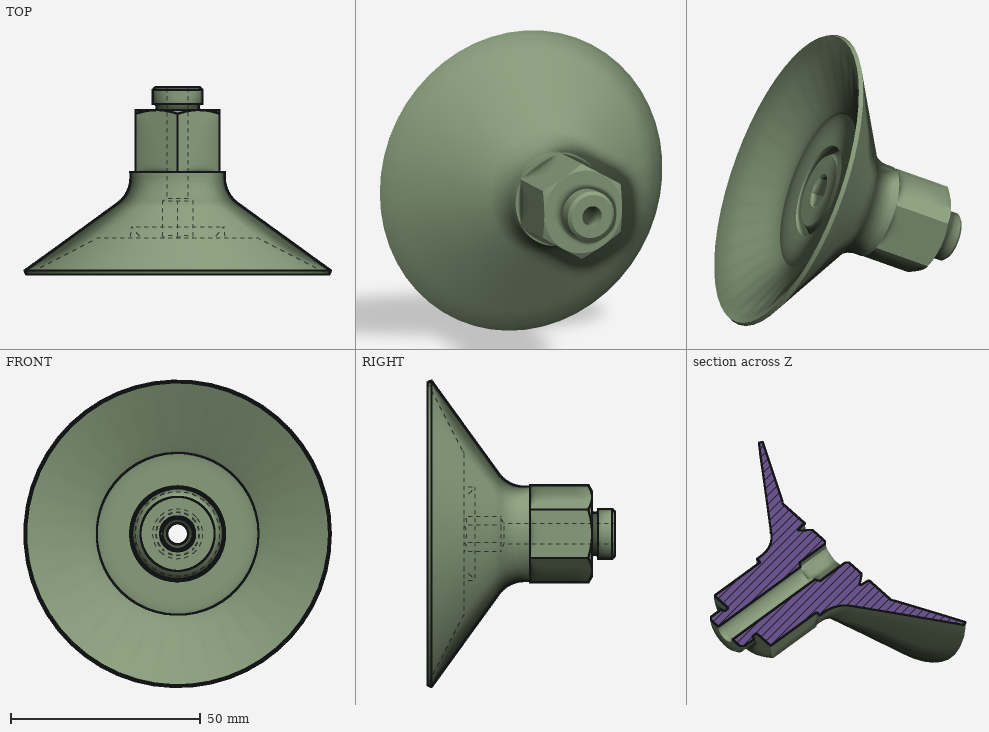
import cadquery as cq
import math


rim_radius = 40.45
lip_radius = 40.0
lip_height = 1.05
collar_radius = 25.0 / 2
collar_start = 25.4
collar_end = 27.1
shoulder_radius = 8.1
shoulder_turn = math.radians(54.5)

floor_depth = 9.7
cavity_end_radius = 21.7
floor_radius = 21.4
floor_step = 0.3
recess_radius = 12.55
recess_taper = 0.3
recess_depth = 2.8
plug_face_radius = 9.8
plug_base_radius = 24.0 / 2

hex_across_flats = 22.25
hex_end = 43.45
hex_chamfer_angle = math.radians(30)

stud_radius = 13.2 / 2
stud_start = 45.0
stud_end = 49.5
stud_chamfer = 0.8
neck_radius = 11.2 / 2
neck_fillet = 0.4

socket_across_flats = 8.0
socket_depth = 9.7
socket_chamfer = 0.65
passage_radius = 5.5 / 2
socket_cone_angle = math.radians(30)


def revolve(profile):
    """Turn a closed (radius, Y) profile around the Y axis."""
    return profile.close().revolve(360, (0, 0, 0), (0, 1, 0))


def hex_prism(across_flats, start, end):
    """Hexagon along Y with flats facing +X and -X and corners on Z."""
    corner_diameter = across_flats / math.cos(math.pi / 6)
    return (
        cq.Workplane("XZ", origin=(0, start, 0))
        .transformed(rotate=(0, 0, 90))
        .polygon(6, corner_diameter)
        .extrude(start - end)
    )


def cup_body():
    """Conical cup blending into the collar through a concave shoulder."""
    arc_center = collar_radius + shoulder_radius

    def shoulder_point(angle):
        radius = arc_center - shoulder_radius * math.cos(angle)
        return radius, collar_start - shoulder_radius * math.sin(angle)

    return revolve(
        cq.Workplane("XY")
        .moveTo(0, 0)
        .lineTo(lip_radius, 0)
        .lineTo(rim_radius, lip_height)
        .lineTo(*shoulder_point(shoulder_turn))
        .threePointArc(shoulder_point(shoulder_turn / 2), shoulder_point(0))
        .lineTo(collar_radius, collar_end)
        .lineTo(0, collar_end)
    )


def cup_cavity():
    """Conical mouth with a small step around its flat floor."""
    return revolve(
        cq.Workplane("XY")
        .moveTo(0, 0)
        .lineTo(lip_radius, 0)
        .lineTo(cavity_end_radius, floor_depth - floor_step)
        .lineTo(floor_radius, floor_depth)
        .lineTo(0, floor_depth)
    )


def plug_groove():
    """Ring recess that leaves a tapered plug flush with the cup floor."""
    recess_bottom = floor_depth + recess_depth
    return revolve(
        cq.Workplane("XY")
        .moveTo(plug_face_radius, floor_depth)
        .lineTo(recess_radius, floor_depth)
        .lineTo(recess_radius - recess_taper, recess_bottom)
        .lineTo(plug_base_radius, recess_bottom)
    )


def hex_fitting():
    """Hex body with its corners turned down at the stud end."""
    flat_radius = hex_across_flats / 2
    cone_height = (hex_end - collar_end) / 2
    cone_base_radius = flat_radius + cone_height / math.tan(hex_chamfer_angle)
    envelope = revolve(
        cq.Workplane("XY")
        .moveTo(0, collar_end)
        .lineTo(cone_base_radius, collar_end)
        .lineTo(cone_base_radius, hex_end - cone_height)
        .lineTo(flat_radius, hex_end)
        .lineTo(0, hex_end)
    )
    return hex_prism(hex_across_flats, collar_end, hex_end).intersect(envelope)


def stud():
    """Chamfered stud on an undercut neck with a fillet at each end."""
    fillet_edge = neck_radius + neck_fillet
    fillet_middle = neck_fillet * (1 - math.sqrt(0.5))
    return revolve(
        cq.Workplane("XY")
        .moveTo(0, hex_end)
        .lineTo(fillet_edge, hex_end)
        .threePointArc(
            (neck_radius + fillet_middle, hex_end + fillet_middle),
            (neck_radius, hex_end + neck_fillet),
        )
        .lineTo(neck_radius, stud_start - neck_fillet)
        .threePointArc(
            (neck_radius + fillet_middle, stud_start - fillet_middle),
            (fillet_edge, stud_start),
        )
        .lineTo(stud_radius, stud_start)
        .lineTo(stud_radius, stud_end - stud_chamfer)
        .lineTo(stud_radius - stud_chamfer, stud_end)
        .lineTo(0, stud_end)
    )


def socket_and_passage():
    """Countersunk hex socket, conical at its bottom, with a through hole."""
    flat_radius = socket_across_flats / 2
    corner_radius = flat_radius / math.cos(math.pi / 6)
    socket_end = floor_depth + socket_depth
    cone_height = (flat_radius - passage_radius) * math.tan(socket_cone_angle)
    socket = hex_prism(socket_across_flats, floor_depth, socket_end)
    countersink = revolve(
        cq.Workplane("XY")
        .moveTo(0, floor_depth)
        .lineTo(corner_radius, floor_depth)
        .lineTo(corner_radius - socket_chamfer, floor_depth + socket_chamfer)
        .lineTo(0, floor_depth + socket_chamfer)
    )
    drill = revolve(
        cq.Workplane("XY")
        .moveTo(0, socket_end)
        .lineTo(flat_radius, socket_end)
        .lineTo(passage_radius, socket_end + cone_height)
        .lineTo(passage_radius, stud_end)
        .lineTo(0, stud_end)
    )
    return socket.union(countersink).union(drill)


cup = cup_body().cut(cup_cavity()).cut(plug_groove())
result = cup.union(hex_fitting()).union(stud()).cut(socket_and_passage())